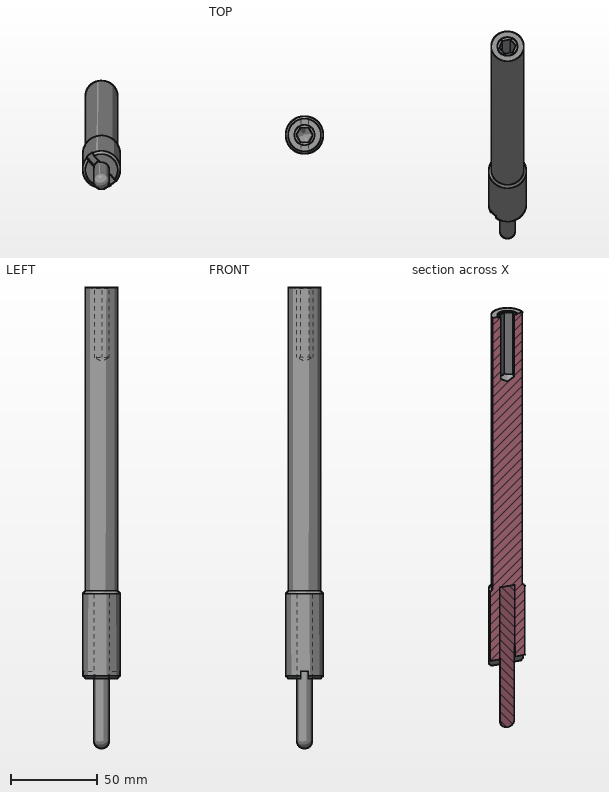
import cadquery as cq
import math

TOTAL_LENGTH = 267.0

COLLAR_RADIUS = 11.0
TUBE_DIAMETER = 19.0
COLLAR_BOTTOM = 40.5
SHOULDER_HEIGHT = 91.3
BOTTOM_CHAMFER = 1.5
SHOULDER_CHAMFER_HEIGHT = 1.5
tube_radius = TUBE_DIAMETER / 2

SLOT_WIDTH = 4.3
SLOT_DEPTH = 4.3

RECESS_RADIUS = 6.0
RECESS_DEPTH = 0.5
HEX_ACROSS_FLATS = 8.3
HEX_DEPTH = 40.0
DRILL_TIP_ANGLE = 118.0
hex_corner_radius = HEX_ACROSS_FLATS / math.sqrt(3)
drill_cone_height = hex_corner_radius / math.tan(math.radians(DRILL_TIP_ANGLE / 2))

PIN_RADIUS = 4.5
pin_top = SHOULDER_HEIGHT

def make_housing_blank():
    """Turned outside shape, with chamfers at both ends of the collar."""
    profile = (
        cq.Workplane("XZ")
        .moveTo(0, COLLAR_BOTTOM)
        .lineTo(COLLAR_RADIUS - BOTTOM_CHAMFER, COLLAR_BOTTOM)
        .lineTo(COLLAR_RADIUS, COLLAR_BOTTOM + BOTTOM_CHAMFER)
        .lineTo(COLLAR_RADIUS, SHOULDER_HEIGHT - SHOULDER_CHAMFER_HEIGHT)
        .lineTo(tube_radius, SHOULDER_HEIGHT)
        .lineTo(tube_radius, TOTAL_LENGTH)
        .lineTo(0, TOTAL_LENGTH)
        .close()
    )
    return profile.revolve(360, (0, 0, 0), (0, 1, 0))

def make_top_recess():
    """Volume of the shallow round recess around the hexagon socket."""
    return (
        cq.Workplane("XY", origin=(0, 0, TOTAL_LENGTH))
        .circle(RECESS_RADIUS)
        .extrude(-RECESS_DEPTH)
    )

def make_hex_socket():
    """Volume of the hexagon socket: corners on the X axis, floor cut to a drill cone."""
    cone_start = TOTAL_LENGTH - HEX_DEPTH
    drill_envelope = (
        cq.Workplane("XZ")
        .moveTo(0, TOTAL_LENGTH)
        .lineTo(hex_corner_radius, TOTAL_LENGTH)
        .lineTo(hex_corner_radius, cone_start)
        .lineTo(0, cone_start - drill_cone_height)
        .close()
        .revolve(360, (0, 0, 0), (0, 1, 0))
    )
    hex_prism = (
        cq.Workplane("XY", origin=(0, 0, TOTAL_LENGTH))
        .polygon(6, 2 * hex_corner_radius)
        .extrude(-(HEX_DEPTH + drill_cone_height))
    )
    return hex_prism.intersect(drill_envelope)

def make_slot():
    """Volume of the slot in the collar's lower face."""
    return (
        cq.Workplane("XY", origin=(0, 0, COLLAR_BOTTOM))
        .rect(SLOT_WIDTH, 2 * COLLAR_RADIUS)
        .extrude(SLOT_DEPTH)
    )

def make_pin_socket():
    """Volume of the blind hole that holds the pin."""
    return (
        cq.Workplane("XY", origin=(0, 0, COLLAR_BOTTOM))
        .circle(PIN_RADIUS)
        .extrude(pin_top - COLLAR_BOTTOM)
    )

def make_housing():
    """Turned blank with its recess, hexagon socket, slot and pin socket cut away."""
    blank = make_housing_blank()
    return blank.cut(make_top_recess()).cut(make_hex_socket()).cut(make_slot()).cut(make_pin_socket())

def make_pin():
    """Rod from the socket's end down to its hemispherical tip."""
    arc_offset = PIN_RADIUS * math.sin(math.radians(45))
    profile = (
        cq.Workplane("XZ")
        .moveTo(0, 0)
        .threePointArc((arc_offset, PIN_RADIUS - arc_offset), (PIN_RADIUS, PIN_RADIUS))
        .lineTo(PIN_RADIUS, pin_top)
        .lineTo(0, pin_top)
        .close()
    )
    return profile.revolve(360, (0, 0, 0), (0, 1, 0))

housing = make_housing()
pin = make_pin()

result = cq.Compound.makeCompound([housing.val(), pin.val()])